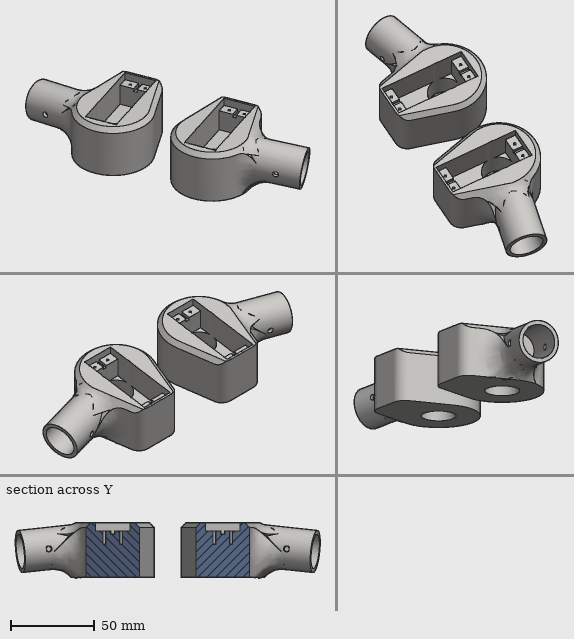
import cadquery as cq
import math

height = 33
round_radius = 25
back_y = 39
back_half_width = 15
back_corner_radius = 8
top_chamfer = 3
housing_offset = 33

pocket_width = 20.5
pocket_front_y = -17
pocket_back_y = 37.5
pocket_depth = 18.5
ledge_length = 6.8
ledge_depth = 5
slot_width = 2.3
slot_depth = 2
screw_diameter = 1.5
screw_half_spacing = 5
screw_end_distance = 3.4
screw_depth = 8
shaft_hole_diameter = 21

tube_diameter = 25.55
bore_diameter = 20.55
tube_length = 57.2
tube_root_z = 21.6
swing_angle = 12.6
tip_angle = 6
bore_depth = 32.3
pin_hole_diameter = 3.5
pin_hole_distance = 15
hidden_length = 18

blend_radius = 15
blend_room = 30
blend_step = 10
blend_clearance = 0.01
base_blend_start = 120
base_blend_end = 230
web_angles = (-48, -30, 4, 26, 48)
web_root_depth = 3
seam_tolerance = 1.5
seam_reach = 5
seam_top_margin = 1
slope_step = 0.001
search_steps = 30

swing = math.radians(swing_angle)
tip = math.radians(tip_angle)
tube_direction = cq.Vector(
    -math.cos(tip) * math.cos(swing),
    math.cos(tip) * math.sin(swing),
    -math.sin(tip),
)
tube_side = cq.Vector(math.sin(swing), math.cos(swing), 0)
tube_up = tube_side.cross(tube_direction)
tube_root = cq.Vector(0, 0, tube_root_z)
tube_end = tube_root + tube_direction * tube_length


def block(width, y_start, y_end, z_bottom, z_top):
    """Box centred on X = 0."""
    return (
        cq.Workplane("XY")
        .box(width, y_end - y_start, z_top - z_bottom, centered=(True, False, False))
        .translate((0, y_start, z_bottom))
    )


def rod(start, direction, length, diameter):
    return cq.Workplane(cq.Solid.makeCylinder(diameter / 2, length, start, direction))


def make_shell(base_z):
    """Chamfered teardrop block from base_z to the top face."""
    corner_distance = math.hypot(back_half_width, back_y)
    tangent_angle = math.atan2(back_y, back_half_width) - math.acos(round_radius / corner_distance)
    tangent_x = round_radius * math.cos(tangent_angle)
    tangent_y = round_radius * math.sin(tangent_angle)
    shell = (
        cq.Workplane("XY", origin=(0, 0, base_z))
        .moveTo(-back_half_width, back_y)
        .lineTo(-tangent_x, tangent_y)
        .threePointArc((0, -round_radius), (tangent_x, tangent_y))
        .lineTo(back_half_width, back_y)
        .close()
        .extrude(height - base_z)
    )
    shell = shell.faces(">Z").edges("not >Y").chamfer(top_chamfer)
    return shell.edges("|Z and >Y").fillet(back_corner_radius)


def radial(angle):
    """Unit vector square to the tube axis; zero degrees points up."""
    turn = math.radians(angle)
    return tube_up * math.cos(turn) + tube_side * math.sin(turn)


def gap_to(shell, point):
    return cq.Vertex.makeVertex(*point.toTuple()).distance(shell)


def ball_centre(shell, angle):
    """Centre of the ball of blend_radius that rests on both the tube and the shell."""
    track = tube_root + radial(angle) * (tube_diameter / 2 + blend_radius)
    near = 0
    far = 2 * tube_length
    for _ in range(search_steps):
        middle = (near + far) / 2
        if gap_to(shell, track + tube_direction * middle) < blend_radius:
            near = middle
        else:
            far = middle
    return track + tube_direction * far


def ball_path(centres, radius):
    """Space swept by a ball that rolls along the given centres."""
    path = cq.Edge.makeSpline(centres)
    section = cq.Wire.makeCircle(radius, path.startPoint(), path.tangentAt(0))
    return cq.Workplane(cq.Solid.sweep(section, [], cq.Wire.assembleEdges([path])))


def shell_normal(shell, point):
    """Unit vector that points from the nearest spot of the shell to the given point."""
    slopes = []
    for step in (cq.Vector(slope_step, 0, 0), cq.Vector(0, slope_step, 0), cq.Vector(0, 0, slope_step)):
        slopes.append(gap_to(shell, point + step) - gap_to(shell, point - step))
    return cq.Vector(*slopes).normalized()


def web_section(shell, angle):
    """Cross-section of the web: the ball's arc, closed by two lines inside the part."""
    centre = ball_centre(shell, angle)
    reach = blend_radius + blend_clearance
    to_tube = radial(angle) * -1
    to_shell = shell_normal(shell, centre) * -1
    tube_touch = centre + to_tube * reach
    shell_touch = centre + to_shell * reach
    arc_middle = centre + (to_tube + to_shell).normalized() * reach
    along_tube = (to_shell - to_tube * to_shell.dot(to_tube)).normalized()
    root_length = (shell_touch - tube_touch).dot(along_tube) + web_root_depth
    root = tube_touch + along_tube * root_length + to_tube * web_root_depth
    return cq.Wire.assembleEdges(
        [
            cq.Edge.makeThreePointArc(tube_touch, arc_middle, shell_touch),
            cq.Edge.makeLine(shell_touch, root),
            cq.Edge.makeLine(root, tube_touch),
        ]
    )


def make_top_web(shell):
    """Web between the tube and the top rim, in patches that meet where the ball changes support."""
    web = cq.Workplane("XY")
    for start, end in zip(web_angles, web_angles[1:]):
        sections = [web_section(shell, angle) for angle in (start, (start + end) / 2, end)]
        web = web.union(cq.Workplane(cq.Solid.makeLoft(sections)))
    return web.intersect(block(4 * tube_length, -tube_length, tube_length, 0, height))


def make_blended_body():
    """Shell and tube with a rolling-ball blend between them."""
    tube_start = tube_root + tube_direction * hidden_length
    tube = rod(tube_start, tube_direction, tube_length - hidden_length, tube_diameter)
    body = make_shell(-blend_room).union(tube)

    def on_wall_seam(edge):
        middle = edge.Center()
        axis_distance = (middle - tube_root).cross(tube_direction).Length
        near_tube = axis_distance < tube_diameter / 2 + seam_tolerance
        outside_pocket = -tube_length / 2 - seam_reach < middle.x < -pocket_width / 2
        below_chamfer = 0 < middle.z < height - top_chamfer - seam_top_margin
        return near_tube and outside_pocket and below_chamfer

    seam = [edge for edge in body.edges().vals() if on_wall_seam(edge)]
    body = cq.Workplane(body.val().fillet(blend_radius, seam))
    body = body.cut(block(4 * tube_length, -tube_length, tube_length, -blend_room, 0))

    shell = make_shell(0).val()
    base_angles = range(base_blend_start, base_blend_end + 1, blend_step)
    base_path = [ball_centre(shell, angle) for angle in base_angles]
    body = body.cut(ball_path(base_path, blend_radius - blend_clearance))
    return body.union(make_top_web(shell))


def make_pocket():
    """Pocket with a slotted ledge at each end and the shaft hole through its floor."""
    pocket = block(pocket_width, pocket_front_y, pocket_back_y, height - ledge_depth, height)
    well_front_y = pocket_front_y + ledge_length
    well_back_y = pocket_back_y - ledge_length
    pocket = pocket.union(block(pocket_width, well_front_y, well_back_y, height - pocket_depth, height))
    slot_bottom = height - ledge_depth - slot_depth
    pocket = pocket.union(block(slot_width, pocket_front_y, pocket_back_y, slot_bottom, height))
    screw_bottom = height - ledge_depth - screw_depth
    up = cq.Vector(0, 0, 1)
    for y in (pocket_front_y + screw_end_distance, pocket_back_y - screw_end_distance):
        for x in (-screw_half_spacing, screw_half_spacing):
            pocket = pocket.union(rod(cq.Vector(x, y, screw_bottom), up, screw_depth, screw_diameter))
    return pocket.union(rod(cq.Vector(0, 0, 0), up, height, shaft_hole_diameter))


def make_housing():
    bore = rod(tube_end, tube_direction * -1, bore_depth, bore_diameter)
    pin_start = tube_end - tube_direction * pin_hole_distance - tube_side * tube_diameter
    pin_hole = rod(pin_start, tube_side, 2 * tube_diameter, pin_hole_diameter)
    return make_blended_body().cut(make_pocket()).cut(bore).cut(pin_hole)


left_housing = make_housing().translate((-housing_offset, 0, 0))
right_housing = left_housing.mirror("YZ")

result = cq.Compound.makeCompound([left_housing.val(), right_housing.val()])